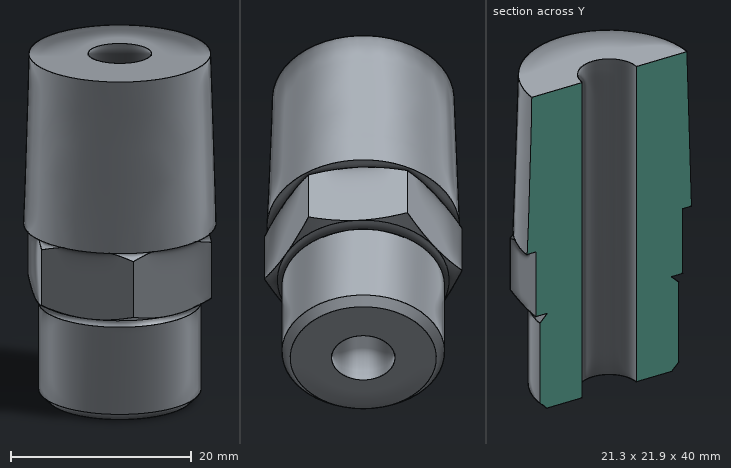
import cadquery as cq
import math

total_height = 40.0
thread_top = 12.0
hex_height = 8.2
hex_top = thread_top + hex_height

thread_diameter = 18.0
thread_chamfer = 0.9

across_flats = 19.0
across_corners = across_flats / math.cos(math.radians(30))
hex_chamfer_angle = 30.0

taper_base_diameter = 21.3
taper_top_diameter = 20.1
bore_diameter = 7.0


def make_thread_spigot():
    """Plain cylinder with both ends chamfered."""
    spigot = cq.Workplane("XY").circle(thread_diameter / 2).extrude(thread_top)
    return spigot.edges("%CIRCLE").chamfer(thread_chamfer)


def make_hexagon():
    """Hexagon with corners on the Y axis, turned down conically at both ends."""
    prism = (
        cq.Workplane("XY", origin=(0, 0, thread_top))
        .transformed(rotate=(0, 0, 90))
        .polygon(6, across_corners)
        .extrude(hex_height)
    )
    flat_radius = across_flats / 2
    corner_radius = across_corners / 2
    corner_drop = (corner_radius - flat_radius) * math.tan(math.radians(hex_chamfer_angle))
    envelope = (
        cq.Workplane("XZ")
        .moveTo(0, thread_top)
        .lineTo(flat_radius, thread_top)
        .lineTo(corner_radius, thread_top + corner_drop)
        .lineTo(corner_radius, hex_top - corner_drop)
        .lineTo(flat_radius, hex_top)
        .lineTo(0, hex_top)
        .close()
        .revolve(360, (0, 0, 0), (0, 1, 0))
    )
    return prism.intersect(envelope)


def make_tapered_spigot():
    """Cone frustum narrowing towards the top face."""
    return (
        cq.Workplane("XY", origin=(0, 0, hex_top))
        .circle(taper_base_diameter / 2)
        .workplane(offset=total_height - hex_top)
        .circle(taper_top_diameter / 2)
        .loft()
    )


bore = cq.Workplane("XY").circle(bore_diameter / 2).extrude(total_height)

result = make_thread_spigot().union(make_hexagon()).union(make_tapered_spigot()).cut(bore)